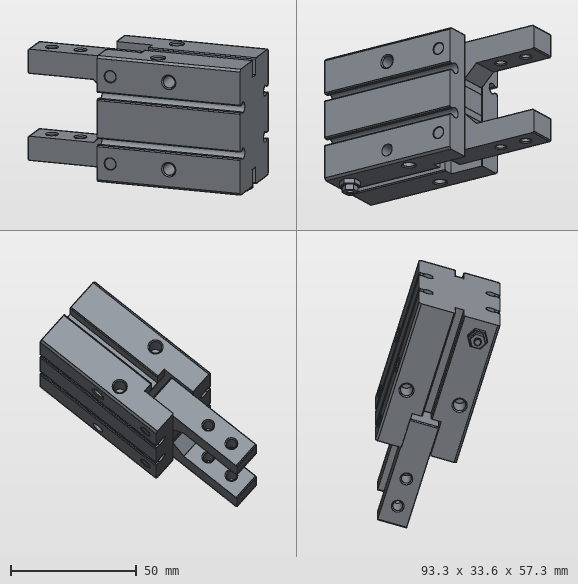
import cadquery as cq
import math

total_length = 93.3
housing_front = 33.0
housing_width = 33.6
housing_height = 52.0
half_width = housing_width / 2
half_height = housing_height / 2
corner_chamfer = 0.9
housing_length = total_length - housing_front

jaw_width = 12.0
slot_end = 48.0
slot_lead_in = 0.3
bridge_half_height = 4.5

jaw_rear = 44.4
jaw_outer_z = 22.95
finger_thickness = 10.0
jaw_heel_z = 7.4
heel_start = 27.6
jaw_edge_chamfer = 0.5
jaw_hole_dia = 4.0
jaw_hole_rim_dia = 5.0
first_jaw_hole_x = 7.9
jaw_hole_pitch = 12.0

sensor_groove_z = 9.5
sensor_groove_dia = 4.3
sensor_groove_y = 13.2
sensor_mouth = 2.8
sensor_mouth_chamfer = 0.5

guide_width = 3.5
guide_depth = 6.9
guide_chamfer = 0.5

cavity_end = 70.0
cavity_half_height = 18.6

mount_hole_dia = 4.9
mount_rim_dia = 6.0
hole_row_z = 18.0
side_hole_x = 63.3
top_hole_x = 56.7
top_hole_y = 11.0
top_hole_depth = 9.3

port_z = -19.9

pivot_x = 38.5
pivot_rim_dia = 5.0
pivot_floor_dia = 4.7
pivot_recess = 0.2

fitting_x = 85.9
fitting_y = 9.7
collar_across_flats = 7.2
collar_height = 2.1
collar_chamfer = 0.2
nut_across_flats = 5.5
nut_height = 2.2
tip_dia = 3.0
tip_height = 1.0
tip_chamfer = 0.3


def box(x_range, y_range, z_range):
    """Axis-aligned block between the given limits."""
    (x0, x1), (y0, y1), (z0, z1) = x_range, y_range, z_range
    return cq.Workplane("XY").box(x1 - x0, y1 - y0, z1 - z0, centered=False).translate((x0, y0, z0))


def round_tool(start, direction, diameter, length, rim_diameter):
    """Drill shape with a 45 degree countersink at its start."""
    start = cq.Vector(*start)
    direction = cq.Vector(*direction)
    rim_depth = (rim_diameter - diameter) / 2
    drill = cq.Solid.makeCylinder(diameter / 2, length, start, direction)
    rim = cq.Solid.makeCone(rim_diameter / 2, diameter / 2, rim_depth, start, direction)
    return cq.Workplane(drill.fuse(rim))


def flared_groove(width, depth, chamfer, length):
    """Groove opening upwards at Z = 0 with chamfered mouth edges, running along +X from X = 0."""
    half = width / 2
    outline = [
        (-half - chamfer, 0),
        (half + chamfer, 0),
        (half, -chamfer),
        (half, -depth),
        (-half, -depth),
        (-half, -chamfer),
    ]
    return cq.Workplane("YZ").polyline(outline).close().extrude(length)


def cut_jaw_slot(body):
    """Slot for the jaws with lead-in chamfers, crossed by a bridge between the jaws."""
    half = jaw_width / 2
    mouth = half + slot_lead_in
    inner_front = housing_front + slot_lead_in
    outline = [
        (housing_front, -mouth),
        (inner_front, -half),
        (slot_end, -half),
        (slot_end, half),
        (inner_front, half),
        (housing_front, mouth),
    ]
    slot = cq.Workplane("XY").polyline(outline).close().extrude(half_height, both=True)
    bridge = box(
        (inner_front, jaw_rear),
        (-half, half),
        (-bridge_half_height, bridge_half_height),
    )
    return body.cut(slot.cut(bridge))


def cut_cavity(body):
    half = jaw_width / 2
    cavity = box((slot_end, cavity_end), (-half, half), (-cavity_half_height, cavity_half_height))
    return body.cut(cavity)


def cut_sensor_grooves(body):
    mouth = flared_groove(
        sensor_mouth, half_width - sensor_groove_y, sensor_mouth_chamfer, housing_length
    )
    for side in (-1, 1):
        side_mouth = mouth.rotate((0, 0, 0), (1, 0, 0), -90 * side)
        for z in (-sensor_groove_z, sensor_groove_z):
            channel = (
                cq.Workplane("YZ", origin=(housing_front, side * sensor_groove_y, z))
                .circle(sensor_groove_dia / 2)
                .extrude(housing_length)
            )
            body = body.cut(side_mouth.translate((housing_front, side * half_width, z))).cut(channel)
    return body


def cut_guide_grooves(body):
    groove = flared_groove(guide_width, guide_depth, guide_chamfer, total_length - slot_end)
    top_groove = groove.translate((slot_end, 0, half_height))
    return body.cut(top_groove).cut(top_groove.mirror("XY"))


def cut_side_holes(body):
    """Holes from the side faces into the cavity, and the offset countersunk one."""
    depth = half_width - jaw_width / 2
    for y_side, z in ((-1, -hole_row_z), (-1, hole_row_z), (1, hole_row_z)):
        start = (side_hole_x, y_side * half_width, z)
        body = body.cut(round_tool(start, (0, -y_side, 0), mount_hole_dia, depth, mount_rim_dia))
    port_start = (side_hole_x, jaw_width / 2, port_z)
    return body.cut(round_tool(port_start, (0, 1, 0), mount_hole_dia, depth, mount_rim_dia))


def cut_top_and_bottom_holes(body):
    for z_side in (-1, 1):
        for y in (-top_hole_y, top_hole_y):
            start = (top_hole_x, y, z_side * half_height)
            tool = round_tool(start, (0, 0, -z_side), mount_hole_dia, top_hole_depth, mount_rim_dia)
            body = body.cut(tool)
    return body


def cut_pivot_marks(body):
    for y_side in (-1, 1):
        for z in (-hole_row_z, hole_row_z):
            start = cq.Vector(pivot_x, y_side * half_width, z)
            inward = cq.Vector(0, -y_side, 0)
            mark = cq.Solid.makeCone(pivot_rim_dia / 2, pivot_floor_dia / 2, pivot_recess, start, inward)
            body = body.cut(cq.Workplane(mark))
    return body


def fitting_hexagon(top_z, across_flats, height):
    """Hexagonal prism hanging down from top_z, with two corners pointing along Y."""
    across_corners = across_flats / math.cos(math.pi / 6)
    return (
        cq.Workplane("XY", origin=(fitting_x, fitting_y, top_z))
        .transformed(rotate=(0, 0, 90))
        .polygon(6, across_corners)
        .extrude(-height)
    )


def add_fitting(body):
    """Hexagonal collar, smaller hexagonal nut and round tip, stacked downwards."""
    collar_top = -half_height
    nut_top = collar_top - collar_height
    tip_top = nut_top - nut_height
    collar = fitting_hexagon(collar_top, collar_across_flats, collar_height)
    collar = collar.faces("<Z").chamfer(collar_chamfer)
    nut = fitting_hexagon(nut_top, nut_across_flats, nut_height)
    tip = (
        cq.Workplane("XY", origin=(fitting_x, fitting_y, tip_top))
        .circle(tip_dia / 2)
        .extrude(-tip_height)
        .faces("<Z")
        .chamfer(tip_chamfer)
    )
    return body.union(collar).union(nut).union(tip)


def make_housing():
    body = box((housing_front, total_length), (-half_width, half_width), (-half_height, half_height))
    body = body.edges("|X").chamfer(corner_chamfer)
    body = cut_jaw_slot(body)
    body = cut_cavity(body)
    body = cut_sensor_grooves(body)
    body = cut_guide_grooves(body)
    body = cut_side_holes(body)
    body = cut_top_and_bottom_holes(body)
    body = cut_pivot_marks(body)
    return add_fitting(body)


def make_upper_jaw():
    """Finger with a sloped heel that rests on the bridge inside the housing slot."""
    finger_inner_z = jaw_outer_z - finger_thickness
    inner_front = housing_front + slot_lead_in
    outline = [
        (0, finger_inner_z),
        (heel_start, finger_inner_z),
        (inner_front, jaw_heel_z),
        (inner_front, bridge_half_height),
        (jaw_rear, bridge_half_height),
        (jaw_rear, jaw_outer_z),
        (0, jaw_outer_z),
    ]
    jaw = cq.Workplane("XZ").polyline(outline).close().extrude(jaw_width / 2, both=True)
    jaw = jaw.faces("<X").edges("|Y").chamfer(jaw_edge_chamfer)
    jaw = jaw.faces(">X").edges("|Y and >Z").chamfer(jaw_edge_chamfer)
    for x in (first_jaw_hole_x, first_jaw_hole_x + jaw_hole_pitch):
        for z, direction in ((jaw_outer_z, -1), (finger_inner_z, 1)):
            start = (x, 0, z)
            jaw = jaw.cut(
                round_tool(start, (0, 0, direction), jaw_hole_dia, finger_thickness, jaw_hole_rim_dia)
            )
    return jaw


housing = make_housing()
upper_jaw = make_upper_jaw()
jaws = [upper_jaw, upper_jaw.mirror("XY")]

result = cq.Compound.makeCompound([housing.val()] + [jaw.val() for jaw in jaws])